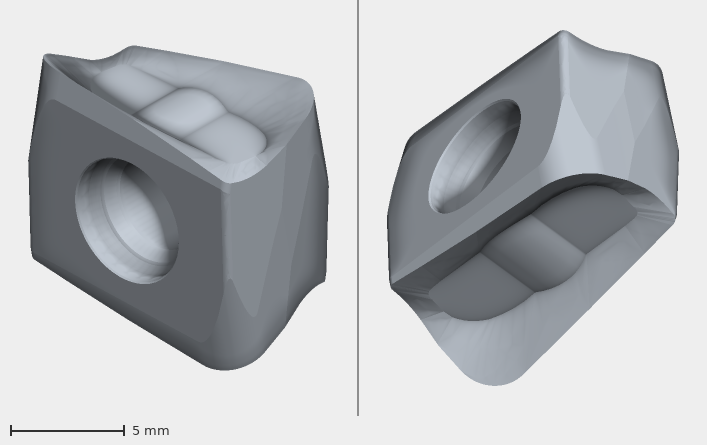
import cadquery as cq

half_thickness = 3.5
half_length = 6.25
draft_slope = 0.21
prism_half_height = 7.5
match_tolerance = 0.001

end_flat = (-6.21, -0.96)
nose_corner = (-6.1, -4.51)
heel_corner = (5.7, -4.23)
side_apex_x = 6.35
nose_radius = 2.02
heel_radius = 0.37
edge_radius = 0.32

hole_mouth_radius = 3.0
hole_lip = (2.94, 3.42)
hole_wall_end = (2.9, 2.67)
hole_round_middle = (2.82, 2.39)
hole_round_end = (2.69, 2.15)
hole_cone_start = (2.56, 2.05)
hole_cone_end = (2.3, 1.51)
bore_radius = 2.22
bore_start = 1.37

floor_height = 3.9
bump_height = 0.27
bump_half_width = 1.52
bump_root_radius = 0.25
pocket_overrun = 0.4
pocket_top = 8.74

tip = ((-5.02, 0.19), (-half_length, 0.0, 4.57))
far_tip = ((5.02, -0.19), (half_length, 0.0, 4.57))
nose_start = ((-4.82, -0.27), (-6.22, -0.45, 4.81))
nose_side = ((-3.98, -1.09), (-6.15, -1.4, 5.3))
nose_middle = ((-2.8, -1.46), (-5.45, -2.62, 5.77))
nose_front = ((-1.57, -1.55), (-4.01, -3.22, 5.83))
front_middle = ((1.57, -1.76), (0.12, -3.27, 5.1))
front_end = ((3.87, -1.94), (3.6, -3.33, 4.36))
heel_start = ((4.43, -1.95), (4.62, -3.35, 4.12))
heel_front = ((4.65, -1.92), (5.33, -3.36, 3.96))
heel_middle = ((4.81, -1.8), (5.67, -3.3, 3.85))
heel_side = ((4.91, -1.5), (5.78, -3.12, 3.8))
side_low = ((4.98, -1.12), (5.95, -2.12, 3.72))
side_rise = ((5.05, -0.69), (6.11, -1.17, 3.96))
wall_sections = [
    [tip, nose_start, nose_side],
    [nose_side, nose_middle, nose_front],
    [nose_front, front_middle],
    [front_middle, front_end],
    [front_end, heel_start],
    [heel_start, heel_front],
    [heel_front, heel_middle, heel_side],
    [heel_side, side_low, side_rise],
    [side_rise, far_tip],
]


def edges_at(prism, corner):
    """Leaning edges that pass through a section corner or its mirror image at Z = 0."""
    return [
        edge
        for edge in prism.edges().vals()
        if abs(edge.Center().x - corner[0]) < match_tolerance
        and abs(abs(edge.Center().y) + corner[1]) < match_tolerance
    ]


def leaning_prism():
    """Prism that leans with the draft, mirror-symmetric in its section."""
    lower = [(-half_length, 0.0), end_flat, nose_corner, heel_corner, (side_apex_x, 0.0)]
    upper = [(x, -y) for x, y in reversed(lower[1:-1])]
    lean = draft_slope * prism_half_height
    base = [cq.Vector(x, y - lean, -prism_half_height) for x, y in lower + upper]
    outline = cq.Wire.makePolygon(base, close=True)
    axis = cq.Vector(0, 2 * lean, 2 * prism_half_height)
    prism = cq.Workplane(obj=cq.Solid.extrudeLinear(outline, [], axis))

    for radius, corner in ((nose_radius, nose_corner), (heel_radius, heel_corner)):
        prism = prism.newObject(edges_at(prism, corner)).fillet(radius)
    return prism


def front_half_bar():
    """Bar between the middle plane and the front face, rounded where that face meets the long sides."""
    side_slope = (side_apex_x - heel_corner[0]) / heel_corner[1]
    face_half_width = side_apex_x + side_slope * half_thickness
    section = (
        cq.Workplane()
        .moveTo(-side_apex_x, 0)
        .lineTo(-face_half_width, -half_thickness)
        .lineTo(face_half_width, -half_thickness)
        .lineTo(side_apex_x, 0)
        .close()
        .extrude(0.12)
        .edges("|Z and <Y")
        .fillet(edge_radius)
        .faces("<Z")
        .wires()
        .val()
    )
    lean = side_slope * draft_slope * prism_half_height
    base = section.moved(cq.Location(cq.Vector(-lean, 0, -prism_half_height)))
    axis = cq.Vector(2 * lean, 0, 2 * prism_half_height)
    return cq.Workplane(obj=cq.Solid.extrudeLinear(base, [], axis))


def insert_blank():
    """Overlap of two prisms leaning opposite ways and a bar rounded along its flat faces."""
    prism = leaning_prism()
    half_bar = front_half_bar()
    turned_prism, turned_bar = [
        shape.rotate((0, 0, 0), (0, 0, 1), 180) for shape in (prism, half_bar)
    ]
    return prism.intersect(turned_prism).intersect(half_bar.union(turned_bar))


def curve_through(points):
    """Straight edge for two points, smooth curve for more."""
    if len(points) == 2:
        return cq.Edge.makeLine(*points)
    return cq.Edge.makeSpline(points)


def pocket_walls():
    """Solid above the floor, inside the sloping chip walls."""
    wall_faces = []
    floor_edges = []
    top_edges = []
    for section in wall_sections:
        floor = [cq.Vector(*station[0], floor_height) for station in section]
        rim = [cq.Vector(*station[1]) for station in section]
        outer = [r + (r - f) * pocket_overrun for f, r in zip(floor, rim)]
        top = [cq.Vector(p.x, p.y, pocket_top) for p in outer]
        floor_edge, outer_edge, top_edge = [curve_through(points) for points in (floor, outer, top)]
        chip_wall = cq.Face.makeRuledSurface(floor_edge, outer_edge)
        upright = cq.Face.makeRuledSurface(outer_edge, top_edge)
        for turn in (0, 180):
            axis = (cq.Vector(), cq.Vector(0, 0, 1), turn)
            wall_faces += [chip_wall.rotate(*axis), upright.rotate(*axis)]
            floor_edges.append(floor_edge.rotate(*axis))
            top_edges.append(top_edge.rotate(*axis))
    caps = [
        cq.Face.makeFromWires(cq.Wire.assembleEdges(edges[0::2] + edges[1::2]))
        for edges in (floor_edges, top_edges)
    ]
    return cq.Workplane(obj=cq.Solid.makeSolid(cq.Shell.makeShell(wall_faces + caps)))


def floor_crown():
    """Convex crown across the pocket floor, blended into it at both feet."""
    foot = 2 * bump_half_width
    crown = (
        cq.Workplane("XZ", origin=(0, half_thickness, 0))
        .moveTo(-foot, 0)
        .lineTo(-foot, floor_height)
        .lineTo(-bump_half_width, floor_height)
        .threePointArc((0, floor_height + bump_height), (bump_half_width, floor_height))
        .lineTo(foot, floor_height)
        .lineTo(foot, 0)
        .close()
        .extrude(2 * half_thickness)
    )
    reach = bump_half_width + match_tolerance
    feet = cq.selectors.BoxSelector(
        (-reach, -half_thickness, floor_height - match_tolerance),
        (reach, half_thickness, floor_height + match_tolerance),
    )
    return crown.edges(feet).fillet(bump_root_radius)


def screw_hole():
    """Stepped hole along Y, the same from both faces."""
    half = (
        cq.Workplane("XY")
        .lineTo(bore_radius, 0)
        .lineTo(bore_radius, bore_start)
        .lineTo(*hole_cone_end)
        .lineTo(*hole_cone_start)
        .lineTo(*hole_round_end)
        .threePointArc(hole_round_middle, hole_wall_end)
        .lineTo(*hole_lip)
        .lineTo(hole_mouth_radius, half_thickness)
        .lineTo(0, half_thickness)
        .close()
        .revolve(360, (0, 0, 0), (0, 1, 0))
    )
    return half.union(half.mirror("XZ"))


pocket = pocket_walls().cut(floor_crown())
blank = insert_blank()
result = blank.cut(pocket).cut(pocket.rotate((0, 0, 0), (1, 0, 0), 180)).cut(screw_hole())